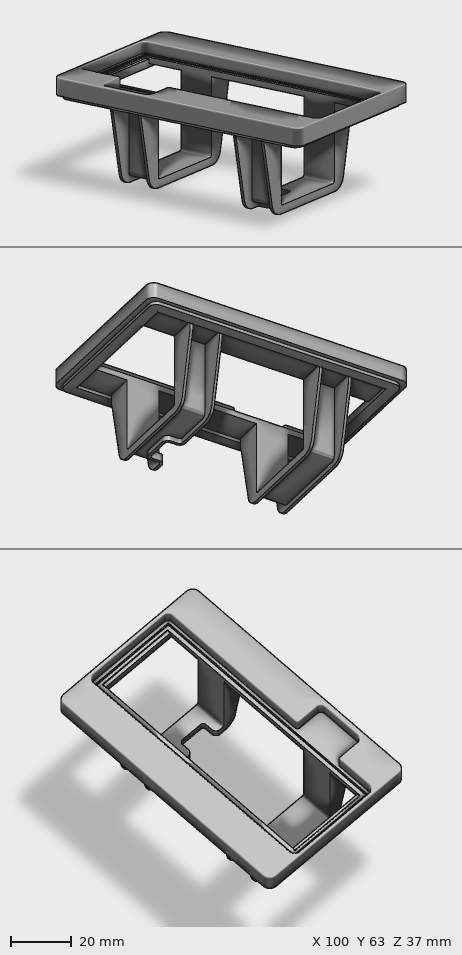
import cadquery as cq

PLATE_LENGTH = 100
PLATE_WIDTH = 63
PLATE_THICKNESS = 6.2
PLATE_CORNER_RADIUS = 3
EDGE_ROUND = 0.5

RECESS_LENGTH = 96.5
RECESS_WIDTH = 36.6
RECESS_DEPTH = 4
RECESS_CORNER_RADIUS = 2
NOTCH_CENTRE_X = -22.1
NOTCH_LENGTH = 19
NOTCH_END_Y = -29.2
NOTCH_MOUTH_RADIUS = 1

WINDOW_LENGTH = 90.6
WINDOW_WIDTH = 30.2
GROOVE_OFFSET_X = 1.4
GROOVE_OFFSET_Y = 1.8
GROOVE_DEPTH = 0.3
GROOVE_ANGLE = 45

RING_LENGTH = 96
RING_WIDTH = 60
RING_BAND = 4
RING_CORNER_RADIUS = 2.7
RING_TOP_Z = -4.6
RING_BOTTOM_Z = -7.5

LEG_CENTRE_X = 24.9
LEG_LENGTH = 12.3
LEG_BOTTOM_Z = -37
LEG_TOP_HALF_WIDTH = 25.3
LEG_TAPER_START_Z = -9.1
LEG_BOTTOM_HALF_WIDTH = 19.5
LEG_CORNER_RADIUS = 5
LEG_FLOOR_Z = -34
LEG_INNER_RADIUS = 0.8
SHEET = 1

CUTOUT_DEPTH = 5.9
CUTOUT_WIDTH = 10.9
CUTOUT_CENTRE_Y = -5.9
CUTOUT_CORNER_RADIUS = 1.2
CUTOUT_MOUTH_RADIUS = 2

PLATE_BOTTOM_Z = -PLATE_THICKNESS
MARGIN = 0.5


def block(length, width, bottom_z, top_z):
    """Centred box between two heights."""
    return cq.Workplane("XY", origin=(0, 0, bottom_z)).rect(length, width).extrude(top_z - bottom_z)


def make_recess():
    """Recess and thumb notch as one solid to remove from the plate."""
    recess = block(RECESS_LENGTH, RECESS_WIDTH, -RECESS_DEPTH, 0)
    notch = block(NOTCH_LENGTH, -NOTCH_END_Y, -RECESS_DEPTH, 0)
    recess = recess.union(notch.translate((NOTCH_CENTRE_X, NOTCH_END_Y / 2, 0)))
    mouth = cq.selectors.BoxSelector(
        (NOTCH_CENTRE_X - NOTCH_LENGTH, -RECESS_WIDTH / 2 - MARGIN, -RECESS_DEPTH),
        (NOTCH_CENTRE_X + NOTCH_LENGTH, -RECESS_WIDTH / 2 + MARGIN, 0),
    )
    upright = cq.selectors.ParallelDirSelector(cq.Vector(0, 0, 1))
    recess = recess.edges(upright - mouth).fillet(RECESS_CORNER_RADIUS)
    return recess.edges(upright & mouth).fillet(NOTCH_MOUTH_RADIUS)


def make_groove():
    """V-groove left between a frustum narrowing downwards and one widening downwards."""
    length = WINDOW_LENGTH + 2 * GROOVE_OFFSET_X
    width = WINDOW_WIDTH + 2 * GROOVE_OFFSET_Y
    floor = cq.Workplane("XY", origin=(0, 0, -RECESS_DEPTH))
    mouth = 2 * GROOVE_DEPTH
    outer = floor.rect(length + mouth, width + mouth).extrude(-GROOVE_DEPTH, taper=GROOVE_ANGLE)
    inner = floor.rect(length - mouth, width - mouth).extrude(-GROOVE_DEPTH, taper=-GROOVE_ANGLE)
    return outer.cut(inner)


def make_plate():
    plate = block(PLATE_LENGTH, PLATE_WIDTH, PLATE_BOTTOM_Z, 0)
    plate = plate.edges("|Z").fillet(PLATE_CORNER_RADIUS)
    plate = plate.cut(make_recess())
    plate = plate.faces(">Z").edges().fillet(EDGE_ROUND)
    plate = plate.cut(block(WINDOW_LENGTH, WINDOW_WIDTH, PLATE_BOTTOM_Z, 0))
    return plate.cut(make_groove())


def make_ring():
    ring = block(RING_LENGTH, RING_WIDTH, RING_BOTTOM_Z, RING_TOP_Z)
    ring = ring.edges("|Z").fillet(RING_CORNER_RADIUS)
    inner_length = RING_LENGTH - 2 * RING_BAND
    inner_width = RING_WIDTH - 2 * RING_BAND
    return ring.cut(block(inner_length, inner_width, RING_BOTTOM_Z, RING_TOP_Z))


def leg_envelope():
    """Tapered outer shape of a leg, rounded at the bottom corners."""
    outline = [
        (-LEG_TOP_HALF_WIDTH, PLATE_BOTTOM_Z),
        (-LEG_TOP_HALF_WIDTH, LEG_TAPER_START_Z),
        (-LEG_BOTTOM_HALF_WIDTH, LEG_BOTTOM_Z),
        (LEG_BOTTOM_HALF_WIDTH, LEG_BOTTOM_Z),
        (LEG_TOP_HALF_WIDTH, LEG_TAPER_START_Z),
        (LEG_TOP_HALF_WIDTH, PLATE_BOTTOM_Z),
    ]
    envelope = cq.Workplane("YZ").polyline(outline).close().extrude(LEG_LENGTH / 2, both=True)
    return envelope.faces("<Z").edges("|X").fillet(LEG_CORNER_RADIUS)


def leg_core(offset):
    """Block filling the inside of the U, grown outwards by an offset."""
    core = block(LEG_LENGTH, WINDOW_WIDTH + 2 * offset, LEG_FLOOR_Z - offset, PLATE_BOTTOM_Z)
    return core.faces("<Z").edges("|X").fillet(LEG_INNER_RADIUS + offset)


def make_leg():
    """Leg centred on X = 0: flanged strip with its channel facing outwards."""
    channel = block(LEG_LENGTH - 2 * SHEET, PLATE_WIDTH, LEG_BOTTOM_Z, PLATE_BOTTOM_Z)
    channel = channel.cut(leg_core(SHEET))
    return leg_envelope().cut(channel).cut(leg_core(0))


def cutout_block(offset):
    """Cut-out with a flared mouth, grown outwards by an offset, for a leg centred on X = 0."""
    outside_x = -LEG_LENGTH / 2 - MARGIN
    edge_x = -LEG_LENGTH / 2 + offset
    end_x = -LEG_LENGTH / 2 + CUTOUT_DEPTH + offset
    half_width = CUTOUT_WIDTH / 2 + offset
    flare = CUTOUT_MOUTH_RADIUS - offset
    corner = CUTOUT_CORNER_RADIUS + offset
    outline = (
        cq.Workplane("XY", origin=(0, CUTOUT_CENTRE_Y, LEG_BOTTOM_Z))
        .moveTo(edge_x, -half_width - flare)
        .radiusArc((edge_x + flare, -half_width), flare)
        .lineTo(end_x - corner, -half_width)
        .radiusArc((end_x, -half_width + corner), -corner)
        .lineTo(end_x, half_width - corner)
        .radiusArc((end_x - corner, half_width), -corner)
        .lineTo(edge_x + flare, half_width)
        .radiusArc((edge_x, half_width + flare), flare)
        .lineTo(outside_x, half_width + flare)
        .lineTo(outside_x, -half_width - flare)
        .close()
    )
    return outline.extrude(LEG_FLOOR_Z - LEG_BOTTOM_Z)


def make_notched_leg():
    """Leg with a rim as thick as its flanges around the cut-out in its floor."""
    rim = cutout_block(SHEET).intersect(leg_envelope())
    return make_leg().union(rim).cut(cutout_block(0))


result = make_plate().union(make_ring())
result = result.union(make_leg().translate((-LEG_CENTRE_X, 0, 0)))
result = result.union(make_notched_leg().translate((LEG_CENTRE_X, 0, 0)))